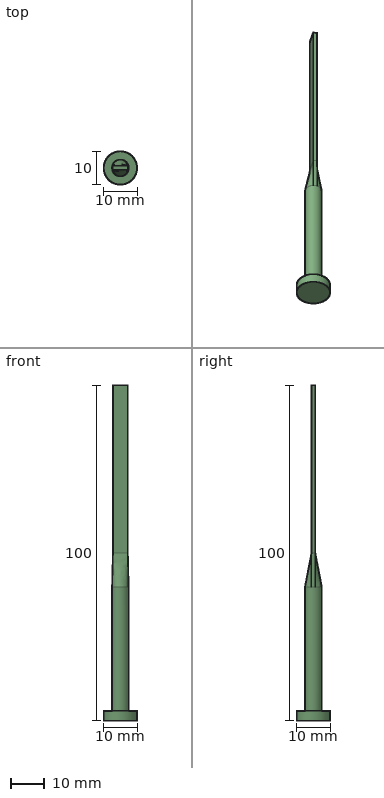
import cadquery as cq
import math

total_height = 100.0
head_height = 3.0
shaft_top = 40.0
blade_bottom = 50.0

head_diameter = 10.0
shaft_diameter = 5.0
blade_width = 4.5
blade_thickness = 1.2


def cylinder(diameter, bottom, top):
    """Round section centred on the Z axis."""
    return cq.Workplane("XY").workplane(offset=bottom).circle(diameter / 2).extrude(top - bottom)


def split_circle_wire():
    """Top rim of the shaft, split into four arcs that pair with the blade's four sides."""
    radius = shaft_diameter / 2
    y = blade_thickness / 2
    x = math.sqrt(radius**2 - y**2)
    return (
        cq.Workplane("XY")
        .workplane(offset=shaft_top)
        .moveTo(-x, -y)
        .threePointArc((0, -radius), (x, -y))
        .threePointArc((radius, 0), (x, y))
        .threePointArc((0, radius), (-x, y))
        .threePointArc((-radius, 0), (-x, -y))
        .close()
        .wire()
        .val()
    )


def blade_wire():
    """Rectangular outline at the foot of the blade."""
    x = blade_width / 2
    y = blade_thickness / 2
    corners = [(-x, -y), (x, -y), (x, y), (-x, y)]
    return cq.Workplane("XY").workplane(offset=blade_bottom).polyline(corners).close().val()


def transition():
    """Ruled taper from the round shaft to the flat blade."""
    return cq.Workplane(cq.Solid.makeLoft([split_circle_wire(), blade_wire()], True))


def blade():
    """Flat blade reaching the tip."""
    return (
        cq.Workplane("XY")
        .workplane(offset=blade_bottom)
        .rect(blade_width, blade_thickness)
        .extrude(total_height - blade_bottom)
    )


head = cylinder(head_diameter, 0, head_height)
shaft = cylinder(shaft_diameter, head_height, shaft_top)
result = head.union(shaft).union(transition()).union(blade())